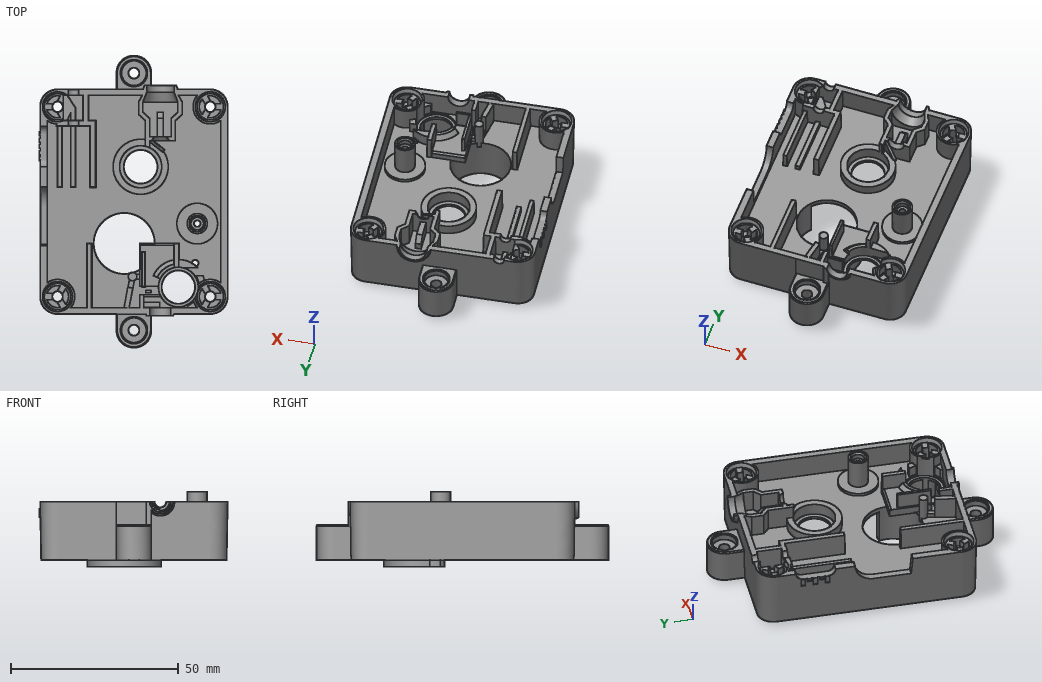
import cadquery as cq
import math

RIM_Z = 17.5
FLOOR_Z = 10.5
FLOOR_THICKNESS = 1.5
CEILING_Z = FLOOR_Z - FLOOR_THICKNESS
PIN_TOP_Z = 20.5
COLLAR_BOTTOM_Z = -2.0
CUT_MARGIN = 1.0

BODY_X = 56.2
BODY_Y = 67.3
CORNER_RADIUS = 5.25
WALL_X = 2.15
WALL_Y = 1.85
INNER_RADIUS = 3.0
DRAFT = 1.0
RIB_DRAFT = 1.5
INNER_X = BODY_X / 2 - WALL_X
INNER_Y = BODY_Y / 2 - WALL_Y

BOSS_X = BODY_X / 2 - CORNER_RADIUS
BOSS_Y = BODY_Y / 2 - CORNER_RADIUS
BOSS_RADIUS = 5.15
BOSS_MOUTH_RADIUS = 4.5
BOSS_SEAT_RADIUS = 3.95
BOSS_SEAT_DEPTH = 1.3
BOSS_POCKET_RADIUS = 3.3
BOSS_POCKET_DEPTH = 4.5
SPOKE_WIDTH = 1.85
SPOKE_COUNT = 3
BOSS_HOLE_RADIUS = 1.55

OVERALL_Y = 87.43
EAR_RADIUS = 5.25
EAR_Y = OVERALL_Y / 2 - EAR_RADIUS
EAR_TOP_Z = 10.6
EAR_EDGE = 0.5
EAR_SEAT_RADIUS = 3.7
EAR_SEAT_DEPTH = 2.2
EAR_SEAT_CHAMFER = 0.35
EAR_HOLE_RADIUS = 1.6

OPENING = (-2.9, -12.5)
OPENING_RADIUS = 9.1
COLLAR_RADIUS = 11.1
COLLAR_GAP_START = 14.0
COLLAR_GAP_END = 140.0

RING = (2.02, 10.45)
RING_RADIUS = 8.25
RING_BORE_RADIUS = 6.3
RING_HOLE_RADIUS = 5.0
RING_TOP_Z = 13.5
RING_SEAT_DEPTH = 0.7

BEARING = (13.3, -25.56)
BEARING_SEAT_RADIUS = 5.95
BEARING_HOLE_RADIUS = 4.96
BEARING_WALL_RADIUS = 8.25
BEARING_SEAT_DEPTH = 0.6
BEARING_WALL_Z = 14.0
BEARING_WALL_CHAMFER = 1.3
BEARING_WALL_END_X = 19.6
BEARING_WALL_FLAT_Y = -19.7
BEARING_BLOCK_Z = 13.8
BEARING_WALL_START = (4.5, -21.5)
BEARING_BLOCK_GAP = 0.3
BEARING_BLOCK = [(18.1, -22.1), (20.7, -22.1), (21.2, -24.0), (21.2, -INNER_Y), (16.0, -INNER_Y)]

DRAIN = (18.35, -18.4)
DRAIN_RADIUS = 0.95
SLOT_X = (3.6, 5.1)
SLOT_Y = (-27.2, -26.6)

PIN = (18.95, -6.55)
PIN_RADIUS = 3.0
PIN_SEAT_RADIUS = 1.9
PIN_SEAT_DEPTH = 2.0
PIN_SEAT_CHAMFER = 0.5
PIN_HOLE_RADIUS = 0.95
PIN_PAD_RADIUS = 6.1
PIN_PAD_HEIGHT = 0.9

GLAND_X = 7.93
GLAND_END_Y = 34.8
GLAND_BORE_RADIUS = 4.1
GLAND_SEAT_RADIUS = 5.25
GLAND_CONE_START_Y = 32.7
GLAND_CONE_END_Y = 29.8
GLAND_BEND_TOP_Y = 26.8
GLAND_BEND_BOTTOM_Y = 24.9
GLAND_BOTTOM_Y = 19.5
GLAND_NECK_HALF = 3.2
GLAND_WALL = 1.3
GLAND_TIP_TAPER = 0.5
GLAND_TONGUE_WIDTH = 1.75
GLAND_TONGUE_Z = 14.6
GLAND_TONGUE_LOW_Z = 12.5
GLAND_STEM_END_Y = 16.3
STAY_START = (4.7, 18.5)
STAY_END = (8.9, 15.2)
STAY_WIDTH = 0.9
STAY_TIP_HEIGHT = 0.5
WIRE_RADIUS = 1.7
WIRE_MOUTH_RADIUS = 2.7
FRONT_GLAND_RADIUS = 3.15
FRONT_GLAND_BOSS_RADIUS = 4.25
FRONT_GLAND_BOSS_TIP_RADIUS = 3.7
FRONT_GLAND_END_Y = -34.2

CHANNEL_X = -18.1
CHANNEL_RADIUS = 1.6
CROSS_RIB_Y = (22.7, 24.2)
CROSS_RIB_X = (-23.1, -11.5)
SIDE_RIB_END_Y = 4.4
LOW_RIB_Z = 11.9
MID_RIB_Z = 15.3
BOSS_FLAT_X = -21.1
DIVIDER_X = (-15.1, -13.7)
RIGHT_RIB_X = (-13.0, CROSS_RIB_X[1])
LEFT_RIB_X = (-22.75, -21.6)
LOW_RIB_X = (-18.9, -17.5)
LOW_RIB_END_Y = 28.1
GUIDE = [
    (BOSS_FLAT_X, INNER_Y),
    (-19.9, INNER_Y),
    (LOW_RIB_X[1], LOW_RIB_END_Y),
    (LOW_RIB_X[0], LOW_RIB_END_Y),
    (LOW_RIB_X[0], 26.6),
    (-20.0, CROSS_RIB_Y[1]),
    (BOSS_FLAT_X, CROSS_RIB_Y[1]),
]

BOX_X = (1.8, 13.5)
BOX_Y = (-25.35, -12.5)
BOX_BOTTOM_Z = 10.3
BOX_FLOOR_Z = 12.7
BOX_EDGE = 0.55
LEFT_PLATE_X = (2.5, 3.3)
LEFT_PLATE_END_Y = -15.1
RIGHT_PLATE_X = (12.1, 13.4)
RIGHT_PLATE_Y = (-19.6, -12.6)
FRONT_WALL_X = (BOX_X[0], 3.0)
SHELF_END_X = 7.7
SHELF_Y = (-28.4, -27.8)
STEP_Y = (-31.6, -30.1)
POST = (-0.4, -22.4)
POST_RADIUS = 1.3
LINK_WIDTH = 1.5
BRACE_BEND = (-1.1, -25.7)
BRACE_END = (-2.2, -INNER_Y)
LONG_RIB_X = (-14.0, -12.7)
LONG_RIB_END_Y = -12.6

NOTCH_FLOOR_Z = 11.8
NOTCH_ARC_RADIUS = RIM_Z - NOTCH_FLOOR_Z
NOTCH_BACK_Y = 4.4
NOTCH_FRONT_Y = -13.25
NOTCH_SLANT = 0.5
SLIT_FLOOR_Z = 15.3
SLIT_Y = (10.4, 22.5)
PRONG_HEIGHT = 0.24
PRONG_WIDTH = 1.3
PRONG_BOTTOM_Z = 12.85
PRONG_Y = (12.9, 16.6, 20.35)
SHORT_PRONG_BOTTOM_Z = 14.3
SHORT_PRONG_Y = (14.6, 18.4)


def drum(center, radius, bottom, top):
    """Upright cylinder between two heights."""
    return cq.Workplane("XY", origin=(*center, bottom)).circle(radius).extrude(top - bottom)


def block(x_range, y_range, bottom, top):
    """Straight box given by its limits."""
    return cq.Workplane("XY").box(
        x_range[1] - x_range[0], y_range[1] - y_range[0], top - bottom, centered=False
    ).translate((x_range[0], y_range[0], bottom))


def rib(x_range, y_range, top=RIM_Z, foot=CEILING_Z):
    """Rib that widens downwards from its top to its foot."""
    middle = (sum(x_range) / 2, sum(y_range) / 2, top)
    plan = cq.Workplane("XY", origin=middle).rect(x_range[1] - x_range[0], y_range[1] - y_range[0])
    return plan.extrude(foot - top, taper=-RIB_DRAFT)


def prism(points, bottom, top):
    """Straight prism over a polygon."""
    return cq.Workplane("XY").polyline(points).close().extrude(top - bottom).translate((0, 0, bottom))


def bar(start, end, width, bottom, top):
    """Straight bar between two points of the plan."""
    run_x = end[0] - start[0]
    run_y = end[1] - start[1]
    middle = ((start[0] + end[0]) / 2, (start[1] + end[1]) / 2, bottom)
    solid = cq.Workplane("XY").rect(math.hypot(run_x, run_y), width).extrude(top - bottom)
    return solid.rotate((0, 0, 0), (0, 0, 1), math.degrees(math.atan2(run_y, run_x))).translate(middle)


def round_along_y(x, profile):
    """Solid turned about a Y-parallel axis on the rim plane from (radius, y) points."""
    points = [(0, profile[0][1]), *profile, (0, profile[-1][1])]
    turned = cq.Workplane("XY").polyline(points).close().revolve(360, (0, 0, 0), (0, 1, 0))
    return turned.translate((x, 0, RIM_Z))


def half_round_boss(x, profile):
    """Lower half of a solid turned about a Y-parallel axis on the rim plane."""
    turned = round_along_y(x, profile)
    return turned.cut(block((-BODY_X, BODY_X), (-BODY_Y, BODY_Y), RIM_Z, 2 * RIM_Z))


def ears():
    """Two round-ended lugs on the front and back walls."""
    lugs = cq.Workplane("XY")
    for side in (1, -1):
        lug = drum((0, side * EAR_Y), EAR_RADIUS, 0, EAR_TOP_Z)
        root = block((-EAR_RADIUS, EAR_RADIUS), sorted((side * INNER_Y, side * EAR_Y)), 0, EAR_TOP_Z)
        lugs = lugs.add(lug.union(root).faces(">Z").chamfer(EAR_EDGE, EAR_EDGE / 2))
    return lugs.combine()


def ear_holes():
    """Counterbored screw holes of the lugs."""
    holes = cq.Workplane("XY")
    seat_z = EAR_TOP_Z - EAR_SEAT_DEPTH
    for side in (1, -1):
        center = (0, side * EAR_Y)
        holes = holes.add(drum(center, EAR_HOLE_RADIUS, -CUT_MARGIN, EAR_TOP_Z))
        holes = holes.add(drum(center, EAR_SEAT_RADIUS, seat_z, EAR_TOP_Z))
        flare = drum(center, EAR_SEAT_RADIUS + EAR_SEAT_CHAMFER, seat_z, EAR_TOP_Z)
        holes = holes.add(flare.cut(drum(center, EAR_RADIUS, seat_z, EAR_TOP_Z - EAR_SEAT_CHAMFER)))
    return holes.combine()


def corner_bosses():
    """Full-height screw columns in the four corners."""
    return (
        cq.Workplane("XY").rect(2 * BOSS_X, 2 * BOSS_Y, forConstruction=True).vertices()
        .circle(BOSS_RADIUS).extrude(RIM_Z)
    )


def boss_recess():
    """Flared seat with three pockets between spokes and a through hole, spoke toward -X."""
    seat_z = RIM_Z - BOSS_SEAT_DEPTH
    pocket = drum((0, 0), BOSS_POCKET_RADIUS, RIM_Z - BOSS_POCKET_DEPTH, seat_z)
    for index in range(SPOKE_COUNT):
        spoke = block((0, BOSS_RADIUS), (-SPOKE_WIDTH / 2, SPOKE_WIDTH / 2), 0, RIM_Z)
        pocket = pocket.cut(spoke.rotate((0, 0, 0), (0, 0, 1), 180 + index * 360 / SPOKE_COUNT))
    seat = (
        cq.Workplane("XY", origin=(0, 0, seat_z)).circle(BOSS_SEAT_RADIUS)
        .workplane(offset=BOSS_SEAT_DEPTH).circle(BOSS_MOUTH_RADIUS).loft()
    )
    return seat.union(pocket).union(drum((0, 0), BOSS_HOLE_RADIUS, -CUT_MARGIN, RIM_Z))


def boss_recesses():
    """Screw recesses of the four corners, the right pair mirrored."""
    left = boss_recess()
    right = left.mirror("YZ")
    recesses = cq.Workplane("XY")
    for y in (BOSS_Y, -BOSS_Y):
        recesses = recesses.add(left.translate((-BOSS_X, y, 0)))
        recesses = recesses.add(right.translate((BOSS_X, y, 0)))
    return recesses.combine()


def front_pad():
    """Upright face of the front wall above its lug, flush with the rim."""
    return block((-EAR_RADIUS, GLAND_X - FRONT_GLAND_BOSS_RADIUS), (-BODY_Y / 2, -INNER_Y), 0, RIM_Z)


def housing():
    """Drafted shell, open above and below an intermediate floor."""
    rim = cq.Sketch().rect(BODY_X, BODY_Y).vertices().fillet(CORNER_RADIUS)
    outer = cq.Workplane("XY", origin=(0, 0, RIM_Z)).placeSketch(rim).extrude(-RIM_Z, taper=DRAFT)
    plan = cq.Workplane("XY").rect(2 * INNER_X, 2 * INNER_Y).extrude(RIM_Z).edges("|Z").fillet(INNER_RADIUS)
    upper = plan.translate((0, 0, FLOOR_Z))
    lower = plan.translate((0, 0, CEILING_Z - RIM_Z))
    shell = outer.cut(upper).cut(lower)
    return shell.union(corner_bosses().intersect(outer)).union(ears()).union(front_pad())


def collar():
    """Open ring that hangs below the large opening."""
    ring = drum(OPENING, COLLAR_RADIUS, COLLAR_BOTTOM_Z, FLOOR_Z)
    reach = 2 * COLLAR_RADIUS
    gap = [OPENING]
    for angle in (COLLAR_GAP_START, (COLLAR_GAP_START + COLLAR_GAP_END) / 2, COLLAR_GAP_END):
        turn = math.radians(angle)
        gap.append((OPENING[0] + reach * math.cos(turn), OPENING[1] + reach * math.sin(turn)))
    return ring.cut(prism(gap, COLLAR_BOTTOM_Z, CEILING_Z))


def gland_plan(grow):
    """Outline of the back gland chamber, moved outwards by grow."""
    wide = GLAND_SEAT_RADIUS + grow
    neck = GLAND_NECK_HALF + grow
    slope = grow / 2
    right = [
        (GLAND_BORE_RADIUS + grow, INNER_Y),
        (wide, GLAND_CONE_END_Y),
        (wide, GLAND_BEND_TOP_Y - slope),
        (neck, GLAND_BEND_BOTTOM_Y - slope),
        (neck, GLAND_BOTTOM_Y - grow),
    ]
    left = [(-x, y) for x, y in reversed(right)]
    return [(GLAND_X + x, y) for x, y in right + left]


def sloping_stay():
    """Slanted strut from the gland outlet that falls to the level of the bearing ring."""
    run_x = STAY_END[0] - STAY_START[0]
    run_y = STAY_END[1] - STAY_START[1]
    length = math.hypot(run_x, run_y)
    foot_z = RING_TOP_Z - STAY_TIP_HEIGHT
    side = [(0, foot_z), (0, RIM_Z), (length, RING_TOP_Z), (length, foot_z)]
    strut = cq.Workplane("XZ").polyline(side).close().extrude(STAY_WIDTH / 2, both=True)
    turn = math.degrees(math.atan2(run_y, run_x))
    return strut.rotate((0, 0, 0), (0, 0, 1), turn).translate((*STAY_START, 0))


def back_gland(body):
    """Bottle-shaped chamber with a round mouth in the back wall."""
    body = body.union(prism(gland_plan(GLAND_WALL), CEILING_Z, RIM_Z))
    stem_x = (GLAND_X - GLAND_NECK_HALF - GLAND_WALL, GLAND_X - GLAND_NECK_HALF)
    body = body.union(block(stem_x, (GLAND_STEM_END_Y, GLAND_BOTTOM_Y), CEILING_Z, RIM_Z))
    outer = GLAND_SEAT_RADIUS
    tip = GLAND_SEAT_RADIUS - GLAND_TIP_TAPER
    body = body.union(half_round_boss(GLAND_X, [(outer, INNER_Y), (outer, BODY_Y / 2), (tip, GLAND_END_Y)]))
    chamber = prism(gland_plan(0), FLOOR_Z, RIM_Z)
    chamber = chamber.cut(block((0, BODY_X), (GLAND_CONE_END_Y, BODY_Y), 0, RIM_Z))
    mouth = round_along_y(
        GLAND_X,
        [
            (GLAND_SEAT_RADIUS, GLAND_CONE_END_Y),
            (GLAND_BORE_RADIUS, GLAND_CONE_START_Y),
            (GLAND_BORE_RADIUS, GLAND_END_Y + CUT_MARGIN),
        ],
    )
    outlet = round_along_y(
        GLAND_X, [(WIRE_MOUTH_RADIUS, GLAND_BOTTOM_Y - GLAND_WALL), (WIRE_RADIUS, GLAND_BOTTOM_Y)]
    )
    body = body.cut(chamber).cut(mouth).cut(outlet)
    tongue = (
        cq.Workplane("YZ")
        .polyline([
            (GLAND_BOTTOM_Y, CEILING_Z),
            (GLAND_BEND_TOP_Y, CEILING_Z),
            (GLAND_BEND_TOP_Y, GLAND_TONGUE_LOW_Z),
            (GLAND_BEND_BOTTOM_Y, GLAND_TONGUE_Z),
            (GLAND_BOTTOM_Y, GLAND_TONGUE_Z),
        ])
        .close().extrude(GLAND_TONGUE_WIDTH / 2, both=True).translate((GLAND_X, 0, 0))
    )
    return body.union(tongue).union(sloping_stay())


def front_gland(body):
    """Half-round cable mouth in the front wall with a short outer collar."""
    boss = half_round_boss(
        GLAND_X,
        [
            (FRONT_GLAND_BOSS_TIP_RADIUS, FRONT_GLAND_END_Y),
            (FRONT_GLAND_BOSS_RADIUS, -BODY_Y / 2),
            (FRONT_GLAND_BOSS_RADIUS, -INNER_Y),
        ],
    )
    web_x = (GLAND_X - FRONT_GLAND_BOSS_RADIUS, EAR_RADIUS)
    web = block(web_x, (FRONT_GLAND_END_Y, -INNER_Y), CEILING_Z, RIM_Z)
    bore = round_along_y(
        GLAND_X,
        [(FRONT_GLAND_RADIUS, FRONT_GLAND_END_Y - CUT_MARGIN), (FRONT_GLAND_RADIUS, -INNER_Y)],
    )
    return body.union(boss).union(web).cut(bore)


def wire_compartment(body):
    """Ribs of the back left corner, with a half-round wire channel across them."""
    corner = block((BOSS_FLAT_X, CROSS_RIB_X[1]), (CROSS_RIB_Y[1], INNER_Y), FLOOR_Z, RIM_Z)
    body = body.cut(corner)
    body = body.union(rib(CROSS_RIB_X, CROSS_RIB_Y))
    body = body.union(rib(DIVIDER_X, (CROSS_RIB_Y[1], INNER_Y)))
    body = body.union(rib(RIGHT_RIB_X, (SIDE_RIB_END_Y, CROSS_RIB_Y[1])))
    body = body.union(rib(LEFT_RIB_X, (SIDE_RIB_END_Y, CROSS_RIB_Y[0]), MID_RIB_Z))
    body = body.union(rib(LOW_RIB_X, (SIDE_RIB_END_Y, LOW_RIB_END_Y), LOW_RIB_Z))
    body = body.union(prism(GUIDE, CEILING_Z, LOW_RIB_Z))
    channel = [(CHANNEL_RADIUS, CROSS_RIB_Y[0] - CUT_MARGIN), (CHANNEL_RADIUS, BODY_Y / 2 + CUT_MARGIN)]
    return body.cut(round_along_y(CHANNEL_X, channel))


def left_wall_openings(body):
    """Large lever notch, shallow slit and the prongs under the slit."""
    wall_x = -BODY_X / 2 - CUT_MARGIN
    depth = INNER_X + wall_x
    arc_turn = math.sqrt(0.5) * NOTCH_ARC_RADIUS
    arc_y = NOTCH_BACK_Y - NOTCH_ARC_RADIUS
    notch = (
        cq.Workplane("YZ").moveTo(NOTCH_BACK_Y, RIM_Z)
        .threePointArc((arc_y + arc_turn, RIM_Z - arc_turn), (arc_y, NOTCH_FLOOR_Z))
        .lineTo(NOTCH_FRONT_Y + NOTCH_SLANT, NOTCH_FLOOR_Z)
        .lineTo(NOTCH_FRONT_Y, RIM_Z).close().extrude(-depth).translate((wall_x, 0, 0))
    )
    slit_radius = RIM_Z - SLIT_FLOOR_Z
    slit_turn = math.sqrt(0.5) * slit_radius
    slit = (
        cq.Workplane("YZ").moveTo(SLIT_Y[0], RIM_Z)
        .threePointArc(
            (SLIT_Y[0] + slit_radius - slit_turn, RIM_Z - slit_turn), (SLIT_Y[0] + slit_radius, SLIT_FLOOR_Z)
        )
        .lineTo(SLIT_Y[1] - slit_radius, SLIT_FLOOR_Z)
        .threePointArc((SLIT_Y[1] - slit_radius + slit_turn, RIM_Z - slit_turn), (SLIT_Y[1], RIM_Z))
        .close().extrude(-depth).translate((wall_x, 0, 0))
    )
    body = body.cut(notch).cut(slit)
    prong_x = (-BODY_X / 2 - PRONG_HEIGHT, -INNER_X)
    for centers, bottom in ((PRONG_Y, PRONG_BOTTOM_Z), (SHORT_PRONG_Y, SHORT_PRONG_BOTTOM_Z)):
        for y in centers:
            prong_y = (y - PRONG_WIDTH / 2, y + PRONG_WIDTH / 2)
            body = body.union(block(prong_x, prong_y, bottom, SLIT_FLOOR_Z))
    return body


def bearing_ring(body):
    """Raised round wall of the bearing seat beside the back gland."""
    return body.union(drum(RING, RING_RADIUS, CEILING_Z, RING_TOP_Z))


def switch_box(body):
    """Raised floor with two plates, reaching over the large opening."""
    ledge = block(BOX_X, BOX_Y, BOX_BOTTOM_Z, BOX_FLOOR_Z)
    body = body.union(ledge.faces(">Y").edges(">Z").chamfer(BOX_EDGE))
    body = body.union(rib(LEFT_PLATE_X, (BOX_Y[0], LEFT_PLATE_END_Y), foot=BOX_BOTTOM_Z))
    body = body.union(rib(RIGHT_PLATE_X, RIGHT_PLATE_Y))
    front_y = (-INNER_Y, SHELF_Y[1])
    body = body.union(block(FRONT_WALL_X, front_y, CEILING_Z, RIM_Z))
    body = body.union(block((BOX_X[0], SHELF_END_X), SHELF_Y, CEILING_Z, MID_RIB_Z))
    return body.union(block((FRONT_WALL_X[1], SHELF_END_X), STEP_Y, CEILING_Z, LOW_RIB_Z))


def post_and_braces(body):
    """Round post tied to the switch box and to the front wall, and the long rib beside it."""
    body = body.union(drum(POST, POST_RADIUS, CEILING_Z, RIM_Z))
    body = body.union(bar(POST, (LEFT_PLATE_X[0], POST[1]), LINK_WIDTH, BOX_BOTTOM_Z, LOW_RIB_Z))
    body = body.union(bar(POST, BRACE_END, LINK_WIDTH, CEILING_Z, LOW_RIB_Z))
    body = body.union(bar(BRACE_BEND, BRACE_END, LINK_WIDTH, CEILING_Z, RIM_Z))
    return body.union(rib(LONG_RIB_X, (-INNER_Y, LONG_RIB_END_Y)))


def corner_bearing(body):
    """Bearing seat by the front right boss: a raised arc behind it and a block beside it."""
    arc = drum(BEARING, BEARING_WALL_RADIUS, CEILING_Z, BEARING_WALL_Z)
    sloped_arc = arc.faces(">Z").chamfer(BEARING_WALL_CHAMFER)
    back_y = BEARING[1] + BEARING_WALL_RADIUS
    left = [BEARING, BEARING_WALL_START, (BEARING_WALL_START[0], back_y), (BEARING[0], back_y)]
    body = body.union(sloped_arc.intersect(prism(left, CEILING_Z, RIM_Z)))
    right = block((BEARING[0], BEARING_WALL_END_X), (BEARING_WALL_FLAT_Y, 0), CEILING_Z, RIM_Z)
    body = body.union(arc.intersect(right))
    side_block = prism(BEARING_BLOCK, CEILING_Z, BEARING_BLOCK_Z)
    body = body.union(side_block.cut(drum(BEARING, BEARING_SEAT_RADIUS + BEARING_BLOCK_GAP, 0, RIM_Z)))
    seat = drum(BEARING, BEARING_SEAT_RADIUS, FLOOR_Z - BEARING_SEAT_DEPTH, RIM_Z)
    return body.cut(seat.intersect(block((0, INNER_X), (-INNER_Y, 0), 0, RIM_Z)))


def hollow_pin(body):
    """Tall bored pin on a round pad."""
    body = body.union(drum(PIN, PIN_PAD_RADIUS, CEILING_Z, FLOOR_Z + PIN_PAD_HEIGHT))
    body = body.union(drum(PIN, PIN_RADIUS, CEILING_Z, PIN_TOP_Z))
    seat = drum(PIN, PIN_SEAT_RADIUS, PIN_TOP_Z - PIN_SEAT_DEPTH, PIN_TOP_Z)
    flare = (
        cq.Workplane("XY", origin=(*PIN, PIN_TOP_Z - PIN_SEAT_CHAMFER)).circle(PIN_SEAT_RADIUS)
        .workplane(offset=PIN_SEAT_CHAMFER).circle(PIN_SEAT_RADIUS + PIN_SEAT_CHAMFER).loft()
    )
    return body.cut(seat).cut(flare).cut(drum(PIN, PIN_HOLE_RADIUS, 0, PIN_TOP_Z))


def floor_holes(body):
    """Bearing bores, the slot beside the switch box and a small drain hole."""
    body = body.cut(drum(RING, RING_BORE_RADIUS, FLOOR_Z - RING_SEAT_DEPTH, RIM_Z))
    body = body.cut(drum(RING, RING_HOLE_RADIUS, 0, FLOOR_Z))
    body = body.cut(drum(BEARING, BEARING_HOLE_RADIUS, 0, FLOOR_Z))
    body = body.cut(block(SLOT_X, SLOT_Y, 0, FLOOR_Z))
    return body.cut(drum(DRAIN, DRAIN_RADIUS, 0, FLOOR_Z))


part = housing().union(collar())
part = part.cut(drum(OPENING, OPENING_RADIUS, COLLAR_BOTTOM_Z, RIM_Z))
part = bearing_ring(part)
part = back_gland(part)
part = wire_compartment(part)
part = switch_box(part)
part = post_and_braces(part)
part = corner_bearing(part)
part = front_gland(part)
part = hollow_pin(part)
part = left_wall_openings(part)
part = floor_holes(part)
part = part.cut(boss_recesses()).cut(ear_holes())
result = part